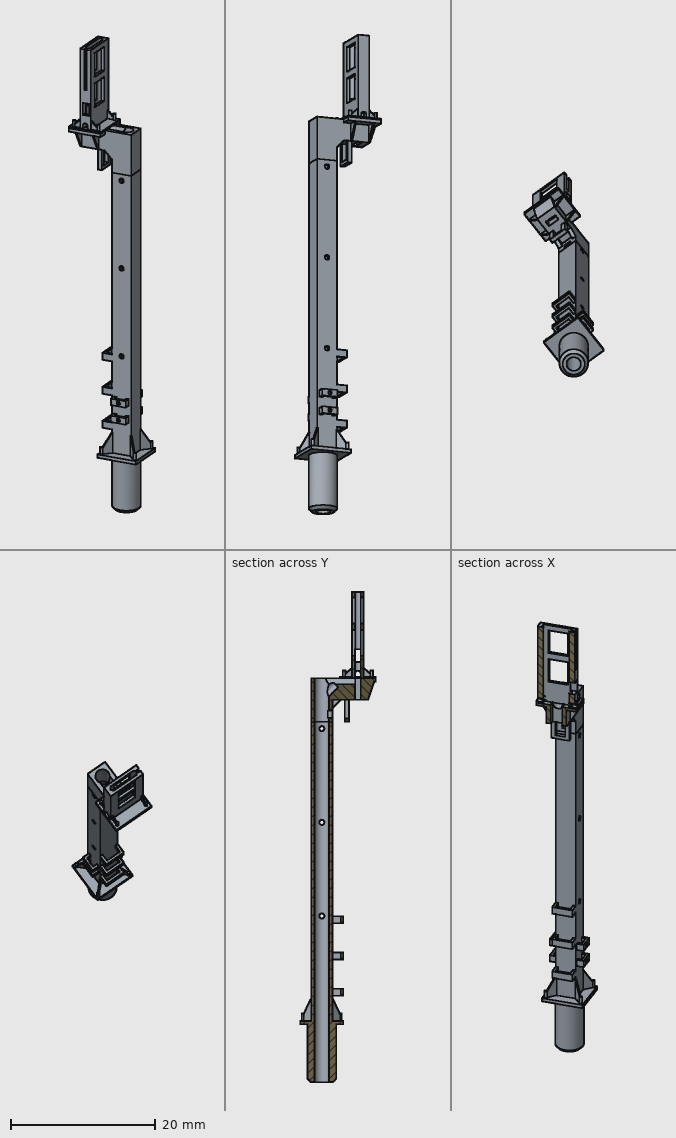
import cadquery as cq
import math

TOTAL_HEIGHT = 68.0
SPIGOT_LENGTH = 8.0
MAST_TOP = 50.0
ARM_BOTTOM = 53.05
ARM_TOP = 56.0

PLATE_SIZE = 6.0
PLATE_THICKNESS = 0.5
POST_SIZE = 3.0
BORE_DIAMETER = 2.0
SPIGOT_DIAMETER = 4.0
SPIGOT_CHAMFER = 0.5
POST_FACE = POST_SIZE / 2
PLATE_TOP = SPIGOT_LENGTH + PLATE_THICKNESS

FIN_THICKNESS = 0.2
FIN_INNER_HEIGHT = 3.0
FIN_OUTER_HEIGHT = 0.7
FIN_ROOT_RADIUS = 1.7
BASE_BOLT_DIAMETER = 0.4
BASE_BOLT_OFFSET = 2.6
BASE_BOLT_HEIGHT = 1.0
CORNER_COUNT = 4
FIRST_CORNER_ANGLE = 45

CROSS_HOLE_DIAMETER = 0.7
CROSS_HOLE_TOP_Z = 49.0
CROSS_HOLE_PITCH = 13.0
CROSS_HOLE_COUNT = 3

LOOP_BAR = 0.4
STEP_REACH = 1.5
STEP_HEIGHT = 1.0
STEP_LOWEST_Z = 12.0
STEP_PITCH = 5.0
STEP_COUNT = 3
RUNG_REACH = 1.0
RUNG_WIDTH = 2.3
RUNG_HEIGHT = 0.95
RUNG_LOWEST_Z = 13.45
RUNG_PITCH = 2.5
RUNG_COUNT = 2
RUNG_HOLE_DIAMETER = 0.5

FLANGE_LENGTH = 4.95
OVERALL_LENGTH = 10.5
FLANGE_LEFT = PLATE_SIZE / 2 - OVERALL_LENGTH
FLANGE_RIGHT = FLANGE_LEFT + FLANGE_LENGTH
FLANGE_BOTTOM = ARM_TOP - PLATE_THICKNESS
HEAD_X = FLANGE_LEFT + FLANGE_LENGTH / 2
RIB_OUTER_OFFSET = 1.4
RIB_THICKNESS = 0.2
ARM_INSET = 0.2
GUSSET_SIZE = 1.15
GUSSET_THICKNESS = 0.6
TROUGH_DIAMETER = 1.6
DRILL_DIAMETER = 1.2
DRILL_START_X = -1.85
DRILL_ANGLE = 45
WIRE_WINDOW_SIZE = 1.0
WIRE_WINDOW_BOTTOM = 50.5

GUIDE_THICKNESS = 0.6
GUIDE_WIDTH = 2.65
GUIDE_OPENING_WIDTH = 1.4
GUIDE_BAR = 0.5

HEAD_PLATE_THICKNESS = 0.2
HEAD_THICKNESS = 1.6
HEAD_WIDTH = 5.5
HEAD_PLATE_TOP = ARM_TOP + HEAD_PLATE_THICKNESS
SLOT_WIDTH = 0.75
SLOT_LENGTH = 4.35
LIGHT_WIDTH = 2.85
LIGHT_HEIGHT = 3.55
LIGHT_PITCH = 4.5
LIGHT_TOP_MARGIN = 0.8
LIGHT_COUNT = 2
GROOVE_SIZE = 0.4
GROOVE_LENGTH = 6.0
SIDE_WINDOW_LENGTH = 1.0
SIDE_WINDOW_HEIGHT = 1.8
SIDE_WINDOW_BOTTOM = 58.3
SIDE_WINDOW_SHIFT = 0.1
ARCH_HEIGHT = 0.8
HEAD_BOLT_DIAMETER = 0.4
HEAD_BOLT_X = 1.9
HEAD_BOLT_Y = 2.45
HEAD_BOLT_HEIGHT = 0.9
WEB_THICKNESS = 0.2
WEB_INNER_HEIGHT = 1.2
WEB_OUTER_HEIGHT = 0.3


def box(x_min, x_max, width, z_min, z_max, y_mid=0.0):
    """Box with given X and Z limits, of a given Y width."""
    block = cq.Workplane("XY").box(x_max - x_min, width, z_max - z_min, centered=(False, True, False))
    return block.translate((x_min, y_mid, z_min))


def upright(diameter, x, y, z_min, z_max):
    """Vertical cylinder."""
    return cq.Workplane("XY", origin=(x, y, z_min)).circle(diameter / 2).extrude(z_max - z_min)


def side_plate(points, thickness, y_mid=0.0):
    """Plate with an XZ outline, centred on y_mid."""
    plate = cq.Workplane("XZ").polyline(points).close().extrude(thickness / 2, both=True)
    return plate.translate((0, y_mid, 0))


def loop(reach, width, height, z_min):
    """U-shaped loop on the -X face of the post."""
    outer = box(-POST_FACE - reach, -POST_FACE, width, z_min, z_min + height)
    inner = box(-POST_FACE - reach + LOOP_BAR, -POST_FACE, width - 2 * LOOP_BAR, z_min, z_min + height)
    return outer.cut(inner)


def side_rung(z_min):
    """Loop with a small hole through its bar."""
    hole = (
        cq.Workplane("YZ", origin=(-POST_FACE - RUNG_REACH, 0, z_min + RUNG_HEIGHT / 2))
        .circle(RUNG_HOLE_DIAMETER / 2)
        .extrude(LOOP_BAR)
    )
    return loop(RUNG_REACH, RUNG_WIDTH, RUNG_HEIGHT, z_min).cut(hole)


def base_fin():
    """Fin from the post to a plate corner, drawn along +X before it is turned."""
    post_corner = POST_FACE * math.sqrt(2)
    bolt_radius = BASE_BOLT_OFFSET * math.sqrt(2)
    outline = [
        (FIN_ROOT_RADIUS, PLATE_TOP),
        (bolt_radius, PLATE_TOP),
        (bolt_radius, PLATE_TOP + FIN_OUTER_HEIGHT),
        (post_corner, PLATE_TOP + FIN_INNER_HEIGHT),
        (FIN_ROOT_RADIUS, PLATE_TOP + FIN_INNER_HEIGHT),
    ]
    bolt = upright(BASE_BOLT_DIAMETER, bolt_radius, 0, PLATE_TOP, PLATE_TOP + BASE_BOLT_HEIGHT)
    return side_plate(outline, FIN_THICKNESS).union(bolt)


def turned(shape, angle):
    """Shape turned about the mast axis."""
    return shape.rotate((0, 0, 0), (0, 0, 1), angle)


def make_mast():
    spigot = upright(SPIGOT_DIAMETER, 0, 0, 0, SPIGOT_LENGTH).faces("<Z").chamfer(SPIGOT_CHAMFER)
    plate = box(-PLATE_SIZE / 2, PLATE_SIZE / 2, PLATE_SIZE, SPIGOT_LENGTH, PLATE_TOP)
    post = box(-POST_FACE, POST_FACE, POST_SIZE, PLATE_TOP, MAST_TOP)
    mast = spigot.union(plate).union(post)
    for corner in range(CORNER_COUNT):
        mast = mast.union(turned(base_fin(), FIRST_CORNER_ANGLE + corner * 360 / CORNER_COUNT))
    for i in range(STEP_COUNT):
        mast = mast.union(loop(STEP_REACH, POST_SIZE, STEP_HEIGHT, STEP_LOWEST_Z + i * STEP_PITCH))
    for i in range(RUNG_COUNT):
        for angle in (-90, 90):
            mast = mast.union(turned(side_rung(RUNG_LOWEST_Z + i * RUNG_PITCH), angle))
    for i in range(CROSS_HOLE_COUNT):
        z = CROSS_HOLE_TOP_Z - i * CROSS_HOLE_PITCH
        hole = cq.Workplane("XZ", origin=(0, 0, z)).circle(CROSS_HOLE_DIAMETER / 2)
        mast = mast.cut(hole.extrude(POST_SIZE, both=True))
    return mast.cut(upright(BORE_DIAMETER, 0, 0, 0, MAST_TOP))


def flange_rib(x_min):
    """Thin crosswise rib that widens from the arm to the flange."""
    outline = [
        (-POST_FACE, ARM_BOTTOM),
        (POST_FACE, ARM_BOTTOM),
        (PLATE_SIZE / 2, FLANGE_BOTTOM),
        (-PLATE_SIZE / 2, FLANGE_BOTTOM),
    ]
    return cq.Workplane("YZ", origin=(x_min, 0, 0)).polyline(outline).close().extrude(RIB_THICKNESS)


def make_bracket():
    collar = box(-POST_FACE, POST_FACE, POST_SIZE, MAST_TOP, ARM_TOP)
    flange = box(FLANGE_LEFT, FLANGE_RIGHT, PLATE_SIZE, FLANGE_BOTTOM, ARM_TOP)
    arm_outline = [
        (HEAD_X - RIB_OUTER_OFFSET, ARM_BOTTOM),
        (0, ARM_BOTTOM),
        (0, ARM_TOP),
        (FLANGE_LEFT + ARM_INSET, ARM_TOP),
        (FLANGE_LEFT + ARM_INSET, FLANGE_BOTTOM),
    ]
    bracket = collar.union(flange).union(side_plate(arm_outline, POST_SIZE))
    for x_min in (HEAD_X - RIB_OUTER_OFFSET, HEAD_X + RIB_OUTER_OFFSET - RIB_THICKNESS):
        bracket = bracket.union(flange_rib(x_min))

    gusset_outline = [
        (-POST_FACE, ARM_BOTTOM),
        (-POST_FACE - GUSSET_SIZE, ARM_BOTTOM),
        (-POST_FACE, ARM_BOTTOM - GUSSET_SIZE),
    ]
    gusset_y = (POST_SIZE - GUSSET_THICKNESS) / 2
    for y in (-gusset_y, gusset_y):
        bracket = bracket.union(side_plate(gusset_outline, GUSSET_THICKNESS, y))

    drop_hole = box(HEAD_X - SLOT_WIDTH / 2, HEAD_X + SLOT_WIDTH / 2, TROUGH_DIAMETER, ARM_BOTTOM, ARM_TOP)
    trough = cq.Workplane("YZ", origin=(HEAD_X, 0, ARM_TOP)).circle(TROUGH_DIAMETER / 2).extrude(-HEAD_X)
    drill_hole = (
        cq.Workplane("XY")
        .circle(DRILL_DIAMETER / 2)
        .extrude(-POST_SIZE)
        .rotate((0, 0, 0), (0, 1, 0), -DRILL_ANGLE)
        .translate((DRILL_START_X, 0, ARM_TOP - TROUGH_DIAMETER / 2))
    )
    window_top = WIRE_WINDOW_BOTTOM + WIRE_WINDOW_SIZE
    wire_window = box(-POST_FACE, 0, WIRE_WINDOW_SIZE, WIRE_WINDOW_BOTTOM, window_top)
    bore = upright(BORE_DIAMETER, 0, 0, MAST_TOP, ARM_TOP)
    for opening in (drop_hole, trough, drill_hole, wire_window, bore):
        bracket = bracket.cut(opening)
    return bracket


def make_wire_guide():
    x_min = HEAD_X + RIB_OUTER_OFFSET - RIB_THICKNESS
    frame = box(x_min, x_min + GUIDE_THICKNESS, GUIDE_WIDTH, MAST_TOP, ARM_BOTTOM)
    opening = box(x_min, x_min + GUIDE_THICKNESS, GUIDE_OPENING_WIDTH, MAST_TOP + GUIDE_BAR, ARM_BOTTOM)
    return frame.cut(opening)


def head_web(direction):
    """Web from a broad face of the head out to a bolt; direction is +1 or -1 along X."""
    face_x = HEAD_X + direction * HEAD_THICKNESS / 2
    bolt_x = HEAD_X + direction * HEAD_BOLT_X
    outline = [
        (face_x, HEAD_PLATE_TOP),
        (bolt_x, HEAD_PLATE_TOP),
        (bolt_x, HEAD_PLATE_TOP + WEB_OUTER_HEIGHT),
        (face_x, HEAD_PLATE_TOP + WEB_INNER_HEIGHT),
    ]
    return side_plate(outline, WEB_THICKNESS)


def make_head():
    left = HEAD_X - HEAD_THICKNESS / 2
    right = HEAD_X + HEAD_THICKNESS / 2
    side_y = -HEAD_WIDTH / 2
    plate = box(FLANGE_LEFT, FLANGE_RIGHT, PLATE_SIZE, ARM_TOP, HEAD_PLATE_TOP)
    head = plate.union(box(left, right, HEAD_WIDTH, HEAD_PLATE_TOP, TOTAL_HEIGHT))
    for direction in (-1, 1):
        for y in (-HEAD_BOLT_Y, HEAD_BOLT_Y):
            bolt_x = HEAD_X + direction * HEAD_BOLT_X
            bolt_top = HEAD_PLATE_TOP + HEAD_BOLT_HEIGHT
            head = head.union(head_web(direction).translate((0, y, 0)))
            head = head.union(upright(HEAD_BOLT_DIAMETER, bolt_x, y, HEAD_PLATE_TOP, bolt_top))

    slot = (
        cq.Workplane("XY", origin=(HEAD_X, 0, ARM_TOP))
        .slot2D(SLOT_LENGTH, SLOT_WIDTH, 90)
        .extrude(TOTAL_HEIGHT - ARM_TOP)
    )
    head = head.cut(slot)
    for i in range(LIGHT_COUNT):
        light_top = TOTAL_HEIGHT - LIGHT_TOP_MARGIN - i * LIGHT_PITCH
        head = head.cut(box(left, right, LIGHT_WIDTH, light_top - LIGHT_HEIGHT, light_top))

    groove = box(
        HEAD_X - GROOVE_SIZE / 2,
        HEAD_X + GROOVE_SIZE / 2,
        GROOVE_SIZE,
        TOTAL_HEIGHT - GROOVE_LENGTH,
        TOTAL_HEIGHT,
        side_y + GROOVE_SIZE / 2,
    )
    window_x = HEAD_X + SIDE_WINDOW_SHIFT
    wall = (HEAD_WIDTH - SLOT_LENGTH + SLOT_WIDTH) / 2
    side_window = box(
        window_x - SIDE_WINDOW_LENGTH / 2,
        window_x + SIDE_WINDOW_LENGTH / 2,
        wall,
        SIDE_WINDOW_BOTTOM,
        SIDE_WINDOW_BOTTOM + SIDE_WINDOW_HEIGHT,
        side_y + wall / 2,
    )
    arch_radius = SLOT_WIDTH / 2
    arch_shoulder = HEAD_PLATE_TOP + ARCH_HEIGHT - arch_radius
    arch = (
        cq.Workplane("XZ")
        .moveTo(HEAD_X - arch_radius, HEAD_PLATE_TOP)
        .lineTo(HEAD_X - arch_radius, arch_shoulder)
        .threePointArc((HEAD_X, HEAD_PLATE_TOP + ARCH_HEIGHT), (HEAD_X + arch_radius, arch_shoulder))
        .lineTo(HEAD_X + arch_radius, HEAD_PLATE_TOP)
        .close()
        .extrude(HEAD_WIDTH, both=True)
    )
    return head.cut(groove).cut(side_window).cut(arch)


mast = make_mast()
bracket = make_bracket()
wire_guide = make_wire_guide()
head = make_head()

result = cq.Compound.makeCompound([mast.val(), bracket.val(), wire_guide.val(), head.val()])